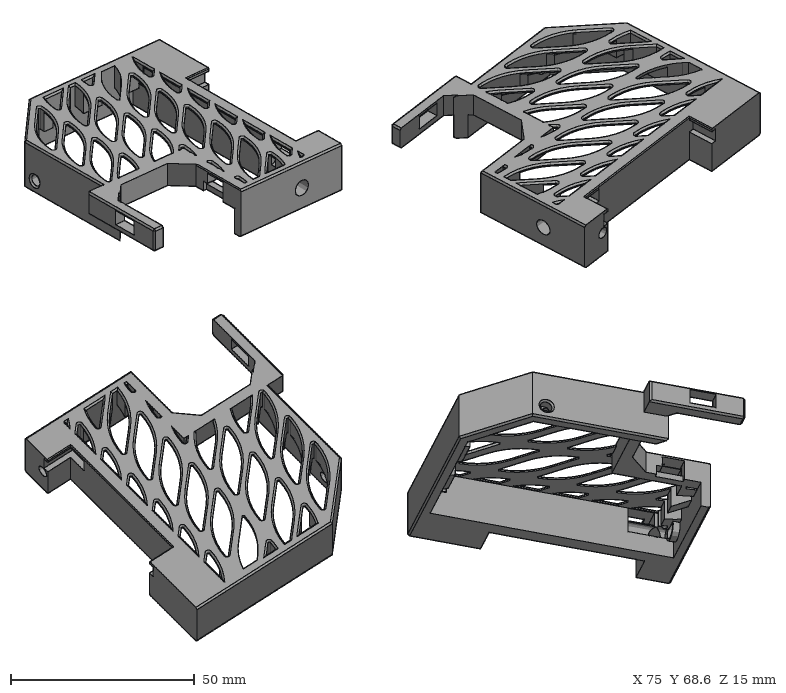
import cadquery as cq
import math

LENGTH = 75.0
DEPTH = 68.6
HEIGHT = 15.0

WALL = 2.8
DECK_THICKNESS = 1.0
EDGE_CHAMFER = 0.5
SMALL_CHAMFER = 0.3
FRONT_Y = 5.5
CORNER_CUT = 16.0
FRONT_WALL_END_X = 54.8
CAVITY_BACK_Y = 56.9
BACK_WALL_Y = 60.7

THICK_BORDER = 7.3

LEFT_TAB_END_X = 20.8
RIGHT_TAB_START_X = 65.1
GROOVE_DEPTH = 1.65
GROOVE_BOTTOM = 9.75
GROOVE_TOP = 13.95

RAIL_BOTTOM = 7.95
RAIL_X = 47.8
RAIL_BACK_Y = 35.0
BAY_X = 51.0
BAY_FRONT_Y = 3.3
BAY_BACK_Y = 31.8
BAY_CORNER = 5.5

WINDOW_BOTTOM = 9.75
WINDOW_TOP = 14.2
WINDOW_START_X = 59.25
ARM_WINDOW_END_X = 66.7
BACK_WINDOW_END_X = 67.5
RECESS_START_X = 59.55
LIP_END_X = 61.2
LIP_BOTTOM = 10.95
RECESS_DEPTH = 1.1

CELL_WIDTH = 20.5
CELL_HEIGHT = 12.45
CELL_CORNER_RADIUS = 0.4
CELL_CHAMFER = 0.5
COLUMN_PITCH = 11.25
ROW_PITCH = 15.2
ROW_SHIFT = 3.75
GRILLE_BACK_Y = 56.6
GRILLE_COLUMNS = {-1: range(-1, 6), 0: range(-2, 6), 1: range(-2, 6), 2: range(-1, 3)}
FIRST_CELL_X = 8.5
FIRST_CELL_Y = 51.1
PLAIN_CELL = (0, -1)

HOLE_DIAMETER = 3.3
HOLE_CHAMFER = 0.5
BORE_DIAMETER = 4.7
BOSS_DIAMETER = 6.0
FRONT_HOLE_X = 20.0
FRONT_HOLE_Z = 4.0
BACK_HOLE_X = 67.3
BACK_HOLE_Z = 7.7
TROUGH_START_X = 59.25
BOSS_START_X = 70.3
BOSS_Y = 54.0
BOSS_Z = 6.9

OVER = 0.75
REACH = 0.1


def box(x0, x1, y0, y1, z0, z1):
    """Axis-aligned box between two opposite corners."""
    return cq.Workplane("XY").box(x1 - x0, y1 - y0, z1 - z0, centered=False).translate((x0, y0, z0))


def prism(points, z0, z1):
    """Upright prism over a polygon."""
    return cq.Workplane("XY").workplane(offset=z0).polyline(points).close().extrude(z1 - z0)


def shell_outline(inset, back_y):
    """Rectangle with its front left corner cut off, moved inward by the inset on three sides."""
    corner_cut = CORNER_CUT - inset * (2 - math.sqrt(2))
    left, right, front = inset, LENGTH - inset, FRONT_Y + inset
    return [
        (left + corner_cut, front),
        (right, front),
        (right, back_y),
        (left, back_y),
        (left, front + corner_cut),
    ]


def along_x(diameter, x0, x1, y, z):
    """Cylinder lying along X."""
    return cq.Workplane("YZ").center(y, z).circle(diameter / 2).extrude(x1 - x0).translate((x0, 0, 0))


def along_y(diameter, y0, y1, x, z):
    """Cylinder lying along Y."""
    return cq.Workplane("XZ").center(x, z).circle(diameter / 2).extrude(y0 - y1).translate((0, y0, 0))


def flared(cutter):
    """Add a 45 degree flare to the top of a cutter, ending level with the deck."""
    flare = cutter.faces(">Z").wires().toPending().extrude(CELL_CHAMFER, taper=-45, combine=False)
    return cutter.union(flare)


def leaf(row, column, top):
    """Upright prism of one opening: two arcs and two 45 degree sides, point-symmetric."""
    x0 = FIRST_CELL_X + column * COLUMN_PITCH + row * ROW_SHIFT
    y0 = FIRST_CELL_Y - row * ROW_PITCH
    x1 = x0 + CELL_WIDTH
    y1 = y0 - CELL_HEIGHT

    radius = (CELL_WIDTH - CELL_HEIGHT) / (math.sqrt(2) - 1)
    half_turn, turn = math.radians(22.5), math.radians(45)
    mid_dx, mid_dy = radius * math.sin(half_turn), radius * (1 - math.cos(half_turn))
    end_dx, end_dy = radius * math.sin(turn), radius * (1 - math.cos(turn))
    bottom = RAIL_BOTTOM - OVER
    blank = (
        cq.Workplane("XY", origin=(0, 0, bottom))
        .moveTo(x0, y0)
        .threePointArc((x0 + mid_dx, y0 - mid_dy), (x0 + end_dx, y0 - end_dy))
        .lineTo(x1, y1)
        .threePointArc((x1 - mid_dx, y1 + mid_dy), (x1 - end_dx, y1 + end_dy))
        .close()
        .extrude(top - bottom)
    )
    for corner in ((x0, y0), (x1, y1)):
        nearest = cq.selectors.NearestToPointSelector((*corner, (bottom + top) / 2))
        blank = blank.edges("|Z").edges(nearest).fillet(CELL_CORNER_RADIUS)
    return blank


def make_grille():
    """All openings together, kept inside the cavity walls."""
    cutter_bottom, prism_top = RAIL_BOTTOM - OVER, HEIGHT - CELL_CHAMFER
    limits = prism(shell_outline(WALL, GRILLE_BACK_Y), cutter_bottom, prism_top)
    plain_limits = prism(shell_outline(WALL, GRILLE_BACK_Y), cutter_bottom, HEIGHT)
    flared_limits = flared(limits)
    openings = cq.Workplane("XY")
    for row, columns in GRILLE_COLUMNS.items():
        for column in columns:
            if (row, column) == PLAIN_CELL:
                opening = leaf(row, column, HEIGHT).intersect(plain_limits)
            else:
                opening = flared(leaf(row, column, prism_top)).intersect(flared_limits)
            openings.add(opening)
    return openings


def make_shell():
    """Deck and outer walls, open below, with tabs at the back."""
    body = prism(shell_outline(0, DEPTH), 0, HEIGHT)
    body = body.edges("<Z or >Z").edges("not(>Y)").chamfer(EDGE_CHAMFER)
    cavity = prism(shell_outline(WALL, CAVITY_BACK_Y), -OVER, RAIL_BOTTOM)
    thin_deck = box(
        THICK_BORDER, LENGTH - THICK_BORDER,
        FRONT_Y + THICK_BORDER, CAVITY_BACK_Y,
        RAIL_BOTTOM - OVER, HEIGHT - DECK_THICKNESS,
    )
    thin_deck = thin_deck.intersect(prism(shell_outline(WALL, CAVITY_BACK_Y), 0, HEIGHT))
    notch = box(LEFT_TAB_END_X, RIGHT_TAB_START_X, BACK_WALL_Y, DEPTH + OVER, -OVER, HEIGHT + OVER)
    groove = box(
        LEFT_TAB_END_X - GROOVE_DEPTH, RIGHT_TAB_START_X + GROOVE_DEPTH,
        BACK_WALL_Y, DEPTH + OVER, GROOVE_BOTTOM, GROOVE_TOP,
    )
    body = body.cut(cavity).cut(thin_deck).cut(notch)
    notch_edges = cq.selectors.BoxSelector(
        (LEFT_TAB_END_X - OVER, BACK_WALL_Y - OVER, HEIGHT - REACH),
        (RIGHT_TAB_START_X + OVER, DEPTH - REACH, HEIGHT + REACH),
        boundingbox=False,
    )
    return body.edges(notch_edges).chamfer(SMALL_CHAMFER).cut(groove)


def make_rail():
    """C-shaped rail, with its bay open to +X."""
    rail = box(RAIL_X, LENGTH, 0, RAIL_BACK_Y, RAIL_BOTTOM, HEIGHT)
    return rail.edges("<Y or (>X and |Y)").chamfer(EDGE_CHAMFER)


def make_bay(corner_x, corner_y):
    """Full-height bay cutter whose front inner corner runs back at 45 degrees from the given point."""
    past_end = LENGTH + OVER
    outline = [
        (past_end, corner_y),
        (corner_x, corner_y),
        (BAY_X, corner_y + corner_x - BAY_X),
        (BAY_X, BAY_BACK_Y - BAY_CORNER),
        (BAY_X + BAY_CORNER, BAY_BACK_Y),
        (past_end, BAY_BACK_Y),
    ]
    return prism(outline, -OVER, HEIGHT + OVER)


def cut_rail_windows(part):
    """Arm window, and the lipped and recessed window opposite it."""
    arm_back = BAY_FRONT_Y + OVER
    part = part.cut(box(WINDOW_START_X, ARM_WINDOW_END_X, -OVER, arm_back, WINDOW_BOTTOM, WINDOW_TOP))
    recess_back = BAY_BACK_Y + RECESS_DEPTH
    rail_back = RAIL_BACK_Y + OVER
    for back_y, bottom in ((recess_back, RAIL_BOTTOM - OVER), (rail_back, WINDOW_BOTTOM)):
        for start_x, top in ((RECESS_START_X, LIP_BOTTOM), (LIP_END_X, WINDOW_TOP)):
            part = part.cut(box(start_x, BACK_WINDOW_END_X, BAY_BACK_Y - OVER, back_y, bottom, top))
    return part


def add_boss(part):
    """Round boss on the right wall, bored through together with the wall."""
    boss = along_x(BOSS_DIAMETER, BOSS_START_X, LENGTH - WALL, BOSS_Y, BOSS_Z)
    bore = along_x(BORE_DIAMETER, BOSS_START_X, LENGTH + OVER, BOSS_Y, BOSS_Z)
    return part.union(boss).cut(bore)


def cut_back_wall(part):
    """Window, half-round trough and screw hole in the back wall."""
    window_end_x = RIGHT_TAB_START_X + GROOVE_DEPTH
    part = part.cut(
        box(WINDOW_START_X, window_end_x, CAVITY_BACK_Y - OVER, BACK_WALL_Y + OVER, WINDOW_BOTTOM, GROOVE_TOP)
    )
    part = part.cut(along_x(HOLE_DIAMETER, TROUGH_START_X, BOSS_START_X, CAVITY_BACK_Y, BACK_HOLE_Z))
    return part.cut(along_y(HOLE_DIAMETER, CAVITY_BACK_Y - OVER, DEPTH + OVER, BACK_HOLE_X, BACK_HOLE_Z))


def cut_front_hole(part):
    """Screw hole through the front wall, chamfered outside."""
    part = part.cut(along_y(HOLE_DIAMETER, FRONT_Y - OVER, FRONT_Y + WALL + OVER, FRONT_HOLE_X, FRONT_HOLE_Z))
    rim = cq.selectors.BoxSelector(
        (FRONT_HOLE_X - HOLE_DIAMETER, FRONT_Y - REACH, FRONT_HOLE_Z - HOLE_DIAMETER),
        (FRONT_HOLE_X + HOLE_DIAMETER, FRONT_Y + REACH, FRONT_HOLE_Z + HOLE_DIAMETER),
    )
    return part.edges(rim).chamfer(HOLE_CHAMFER)


def chamfer_bay_edge(part):
    """Small chamfer on the top edge along the back side of the bay."""
    middle = ((BAY_X + BAY_CORNER + LENGTH) / 2, BAY_BACK_Y, HEIGHT)
    return part.edges(cq.selectors.NearestToPointSelector(middle)).chamfer(SMALL_CHAMFER)


shell = make_shell().cut(make_bay(FRONT_WALL_END_X, FRONT_Y))
for opening in make_grille().solids().vals():
    shell = shell.cut(cq.Workplane(opening))
rail = make_rail().cut(make_bay(BAY_X + BAY_CORNER, BAY_FRONT_Y))
part = chamfer_bay_edge(shell.union(rail))
part = cut_rail_windows(part)
part = add_boss(part)
part = cut_back_wall(part)
result = cut_front_hole(part)